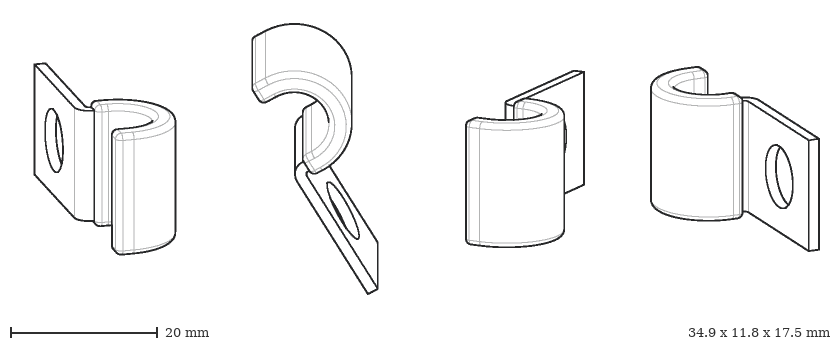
import cadquery as cq

overall_length = 34.85
overall_depth = 11.85
outer_radius = 7.88
strip_thickness = 1.57
cushion_thickness = 0.8
strip_width = 15.85
near_leg_length = 1.7
bend_inner_radius = 0.6
hole_diameter = 8.7
hole_from_end = 9.48

inner_radius = outer_radius - strip_thickness - 2 * cushion_thickness
cushion_width = strip_width + 2 * cushion_thickness
tab_end_x = outer_radius - overall_length
tab_bottom_y = outer_radius - overall_depth
tab_top_y = tab_bottom_y + strip_thickness
far_leg_length = -tab_top_y
strip_outer_x = cushion_thickness - outer_radius
strip_inner_x = strip_outer_x + strip_thickness
bend_x = strip_outer_x - bend_inner_radius
bend_y = tab_top_y + bend_inner_radius
bend_outer_radius = bend_inner_radius + strip_thickness


def bend_midpoint(radius):
    """Point halfway round the quarter bend, towards +X and -Y."""
    offset = radius / 2 ** 0.5
    return (bend_x + offset, bend_y - offset)


def make_cushion():
    """Half-round clamp with two straight legs and rounded outer edges."""
    body = (
        cq.Workplane("XY")
        .workplane(offset=-cushion_width / 2)
        .moveTo(-outer_radius, -near_leg_length)
        .lineTo(-outer_radius, 0)
        .threePointArc((0, outer_radius), (outer_radius, 0))
        .lineTo(outer_radius, -far_leg_length)
        .lineTo(inner_radius, -far_leg_length)
        .lineTo(inner_radius, 0)
        .threePointArc((0, inner_radius), (-inner_radius, 0))
        .lineTo(-inner_radius, -near_leg_length)
        .close()
        .extrude(cushion_width)
    )
    return body.faces("|Z or |Y").edges().fillet(cushion_thickness)


def make_strip():
    """Flat mounting tab bent up into the near leg, with its screw hole."""
    body = (
        cq.Workplane("XY")
        .workplane(offset=-strip_width / 2)
        .moveTo(tab_end_x, tab_bottom_y)
        .lineTo(bend_x, tab_bottom_y)
        .threePointArc(bend_midpoint(bend_outer_radius), (strip_inner_x, bend_y))
        .lineTo(strip_inner_x, 0)
        .lineTo(strip_outer_x, 0)
        .lineTo(strip_outer_x, bend_y)
        .threePointArc(bend_midpoint(bend_inner_radius), (bend_x, tab_top_y))
        .lineTo(tab_end_x, tab_top_y)
        .close()
        .extrude(strip_width)
    )
    hole = (
        cq.Workplane("XZ", origin=(tab_end_x + hole_from_end, tab_top_y, 0))
        .circle(hole_diameter / 2)
        .extrude(strip_thickness)
    )
    return body.cut(hole)


result = make_cushion().union(make_strip())